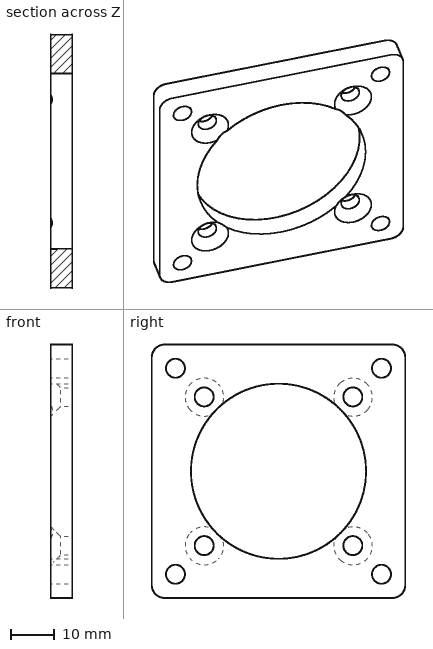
import cadquery as cq

side = 58.0
thickness = 5.0
corner_radius = 3.0

bore_diameter = 40.0
hole_diameter = 4.3
outer_hole_spacing = 47.1
inner_hole_spacing = 34.0

countersink_diameter = 8.75
countersink_angle = 90.0


def square_pattern(plate, spacing):
    """Select four points at the corners of a centred square on the -X face."""
    face = plate.faces("<X").workplane(centerOption="CenterOfBoundBox")
    return face.rarray(spacing, spacing, 2, 2)


plate = cq.Workplane("YZ").rect(side, side).extrude(thickness / 2, both=True)
plate = plate.edges("|X").fillet(corner_radius)

plate = square_pattern(plate, outer_hole_spacing).hole(hole_diameter)

plate = square_pattern(plate, inner_hole_spacing).cskHole(
    hole_diameter, countersink_diameter, countersink_angle
)

plate = plate.faces("<X").workplane(centerOption="CenterOfBoundBox").hole(bore_diameter)

result = plate